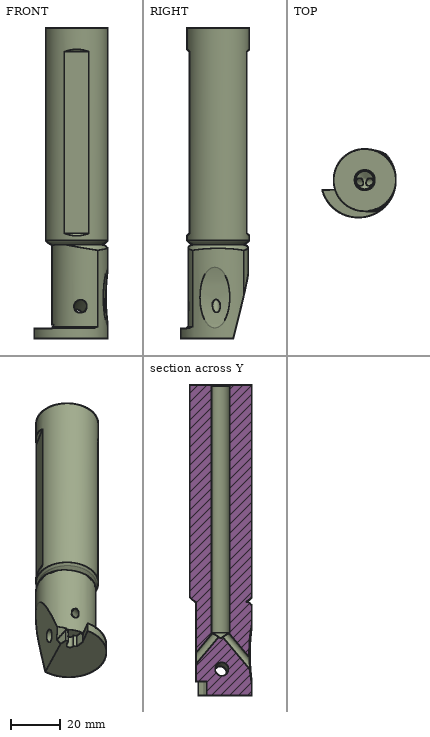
import cadquery as cq
import math

TOTAL_LENGTH = 126.5
SHANK_RADIUS = 12.71
SHANK_BOTTOM = 40.0
OVERSIZE = 50.6

FLAT_WIDTH = 10.0
FLAT_BOTTOM = 42.9
FLAT_TOP = 116.8

DISC_RADIUS = 15.3
DISC_HEIGHT = 4.2
DISC_CENTER_X = SHANK_RADIUS - DISC_RADIUS
NECK_RADIUS = 12.3
NECK_CENTER_X = 2.2
NECK_FOOT_WIDTH = 0.6
NECK_FOOT_HEIGHT = 0.8
SHOULDER_RADIUS = 11.3
SHOULDER_TOP = 38.2
SHANK_CHAMFER = 0.9
SHANK_TIP_RADIUS = 9.9
SHANK_TIP_Z = 37.8

FLANK_OFFSET = 5.2
FLANK_LEAN = 14.5
FLANK_TURN = 5.0
SCREW_LEAN = 11.0
SCREW_DIAMETER = 5.2
SCREW_ENTRY = (1.5, -12.1, 13.2)

SCOOP_RADIUS = 60.7
SCOOP_Z = 16.8
SCOOP_FLOOR_X = 11.5
SCOOP_TURN = -5.5

SEAT_HEIGHT = 5.7
SEAT_FLOOR_X = -7.0
SEAT_FLOOR_Y = -2.2
SEAT_EDGE_Y = -4.0
SEAT_CORNER_X = -10.1
SEAT_CORNER_Y = -3.8
SEAT_WALL_Y = 2.0
RELIEF_RADIUS = 1.4
POST_X = -9.2
POST_Y = 3.0
POST_BACK_ANGLE = 32.0
POST_ROOF_NORMAL = (-1.0, 0.8, -1.0)

BORE_RADIUS = 3.7
BORE_CHAMFER = 0.5
BORE_BOTTOM = 25.5
DRILL_POINT_ANGLE = 118.0
OUTLET_DIAMETER = 3.2
OUTLET_Y = -0.8
OUTLET_EXIT_Z = 15.0
OUTLET_SLOPE = 50.0


def cylinder_z(radius, center_x, bottom, top):
    return cq.Workplane("XY", origin=(center_x, 0, bottom)).circle(radius).extrude(top - bottom)


def revolved(points):
    """Solid of revolution about Z from (radius, z) points."""
    return cq.Workplane("XZ").polyline(points).close().revolve(360, (0, 0, 0), (0, 1, 0))


def make_shank():
    shank = revolved([
        (0, SHANK_TIP_Z),
        (SHANK_TIP_RADIUS, SHANK_TIP_Z),
        (SHANK_RADIUS - SHANK_CHAMFER, SHANK_BOTTOM - SHANK_CHAMFER),
        (SHANK_RADIUS, SHANK_BOTTOM),
        (SHANK_RADIUS, TOTAL_LENGTH),
        (0, TOTAL_LENGTH),
    ])
    flat_y = math.sqrt(SHANK_RADIUS**2 - (FLAT_WIDTH / 2) ** 2)
    rise = SHANK_RADIUS - flat_y
    for side in (1, -1):
        cutter = (
            cq.Workplane("YZ")
            .polyline([
                (side * flat_y, FLAT_BOTTOM),
                (side * flat_y, FLAT_TOP),
                (side * (flat_y + rise), FLAT_TOP + rise),
                (side * (flat_y + rise), FLAT_BOTTOM - rise),
            ])
            .close()
            .extrude(SHANK_RADIUS, both=True)
        )
        shank = shank.cut(cutter)
    return shank


def make_head():
    neck = cylinder_z(NECK_RADIUS, NECK_CENTER_X, 0, SHOULDER_TOP)
    foot = revolved([
        (0, DISC_HEIGHT),
        (NECK_RADIUS + NECK_FOOT_WIDTH, DISC_HEIGHT),
        (NECK_RADIUS, DISC_HEIGHT + NECK_FOOT_HEIGHT),
        (0, DISC_HEIGHT + NECK_FOOT_HEIGHT),
    ]).translate((NECK_CENTER_X, 0, 0))
    outer = cylinder_z(DISC_RADIUS, DISC_CENTER_X, 0, SHOULDER_TOP)
    shoulder = revolved([
        (0, 0),
        (SHOULDER_RADIUS + SHOULDER_TOP, 0),
        (SHOULDER_RADIUS, SHOULDER_TOP),
        (0, SHOULDER_TOP),
    ])
    neck = neck.union(foot).intersect(outer).intersect(shoulder)
    return neck.union(cylinder_z(DISC_RADIUS, DISC_CENTER_X, 0, DISC_HEIGHT))


def leaning_direction(lean_angle):
    """Unit vector from +Y, leaned down by the angle and turned towards -X."""
    lean = math.radians(lean_angle)
    turn = math.radians(FLANK_TURN)
    return cq.Vector(-math.sin(turn) * math.cos(lean), math.cos(turn) * math.cos(lean), -math.sin(lean))


def half_space(point, normal):
    """Large block on the side of the plane to which the normal points."""
    return cq.Workplane(cq.Plane(point, normal=normal)).rect(2 * OVERSIZE, 2 * OVERSIZE).extrude(OVERSIZE)


def make_flank_cutter():
    below_shank = cylinder_z(OVERSIZE, 0, -OVERSIZE, SHOULDER_TOP)
    return half_space((0, FLANK_OFFSET, 0), leaning_direction(FLANK_LEAN)).intersect(below_shank)


def make_screw_hole():
    direction = leaning_direction(SCREW_LEAN)
    start = cq.Vector(*SCREW_ENTRY) - direction * SCREW_DIAMETER
    return cq.Workplane(cq.Plane(start, normal=direction)).circle(SCREW_DIAMETER / 2).extrude(OVERSIZE)


def make_scoop():
    return (
        cq.Workplane("XZ")
        .center(SCOOP_FLOOR_X + SCOOP_RADIUS, SCOOP_Z)
        .circle(SCOOP_RADIUS)
        .extrude(OVERSIZE, both=True)
        .rotate((SCOOP_FLOOR_X, 0, 0), (SCOOP_FLOOR_X, 0, 1), SCOOP_TURN)
        .intersect(cylinder_z(2 * OVERSIZE, 0, DISC_HEIGHT, SHOULDER_TOP))
    )


def make_seat():
    outside = -OVERSIZE
    edge_tip_x = DISC_CENTER_X - math.sqrt(DISC_RADIUS**2 - SEAT_EDGE_Y**2)
    edge_slope = (SEAT_CORNER_Y - SEAT_EDGE_Y) / (SEAT_CORNER_X - edge_tip_x)
    outside_edge_y = SEAT_EDGE_Y + edge_slope * (outside - edge_tip_x)
    pocket = (
        cq.Workplane("XY")
        .polyline([
            (outside, outside_edge_y),
            (SEAT_CORNER_X, SEAT_CORNER_Y),
            (SEAT_FLOOR_X, SEAT_FLOOR_Y),
            (SEAT_FLOOR_X, SEAT_WALL_Y),
            (POST_X, SEAT_WALL_Y),
            (POST_X, POST_Y),
            (outside, POST_Y),
        ])
        .close()
        .extrude(SEAT_HEIGHT)
    )
    relief = (
        cq.Workplane("XY")
        .center(SEAT_FLOOR_X, SEAT_WALL_Y - RELIEF_RADIUS)
        .circle(RELIEF_RADIUS)
        .extrude(SEAT_HEIGHT)
    )
    return pocket.union(relief)


def make_post_clearance():
    """Space behind the post, under a slanting roof."""
    back = math.radians(POST_BACK_ANGLE)
    corner = (POST_X, POST_Y, SEAT_HEIGHT)
    behind = half_space(corner, (-math.sin(back), math.cos(back), 0))
    beside = half_space(corner, (0, 1, 0))
    return behind.intersect(beside).intersect(half_space(corner, POST_ROOF_NORMAL))


def make_bore():
    point_depth = BORE_RADIUS / math.tan(math.radians(DRILL_POINT_ANGLE / 2))
    return revolved([
        (0, BORE_BOTTOM - point_depth),
        (BORE_RADIUS, BORE_BOTTOM),
        (BORE_RADIUS, TOTAL_LENGTH - BORE_CHAMFER),
        (BORE_RADIUS + BORE_CHAMFER, TOTAL_LENGTH),
        (0, TOTAL_LENGTH),
    ])


def make_outlet(side):
    """Hole from the bore bottom down and out to the -X (side = -1) or +X (side = 1) face."""
    slope = math.radians(OUTLET_SLOPE)
    reach = NECK_RADIUS - NECK_CENTER_X
    start = (0, OUTLET_Y, OUTLET_EXIT_Z + reach * math.tan(slope))
    direction = (side * math.cos(slope), 0, -math.sin(slope))
    return cq.Workplane(cq.Plane(start, normal=direction)).circle(OUTLET_DIAMETER / 2).extrude(OVERSIZE)


result = make_shank().union(make_head())
for cutter in (
    make_flank_cutter(),
    make_screw_hole(),
    make_scoop(),
    make_seat(),
    make_post_clearance(),
    make_bore(),
    make_outlet(-1),
    make_outlet(1),
):
    result = result.cut(cutter)